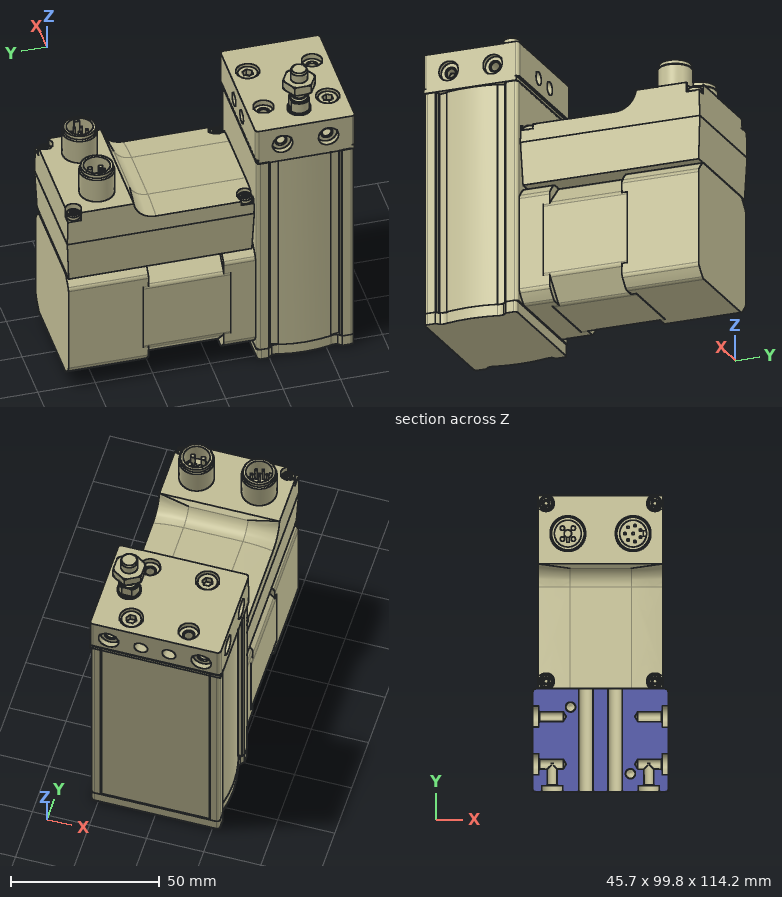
import cadquery as cq
import math

HEAD_WIDTH = 45.7
HEAD_DEPTH = 34.7
HEAD_CORNER_RADIUS = 1.1
HEAD_BOTTOM_Z = 83.5
HEAD_STEP_Z = 85.1
HEAD_TOP_Z = 97.4
PROFILE_WIDTH = 45.0
PROFILE_FRONT_Y = 0.3
PROFILE_BACK_Y = 34.3
PLATE_THICKNESS = 4.1
PLATE_BACK_Y = 33.9
CYLINDER_CORNER_RADIUS = 1.1
CYLINDER_MID_Y = 17.2

GROOVE_OUTER_Y = 12.8
SLOT_FLOOR_Y = 12.1
PLATE_GROOVE_FLOOR_Y = 11.5
BULGE_HALF_LENGTH = 9.1
BULGE_EDGE_DEPTH = 1.1
BULGE_CREST_DEPTH = 0.1
SLOT_LEDGE_DEPTH = 0.7
SLOT_OUTER_DEPTH = 2.2
SLOT_INNER_DEPTH = 1.6
PLATE_GROOVE_DEPTH = 1.4
FRONT_RECESS_WIDTH = 37.7
FRONT_RECESS_DEPTH = 0.5
FRONT_RECESS_SLOPE = 0.5

BORE_DIAMETER = 3.2
BORE_RIM_DIAMETER = 4.0
BORE_TIP_ANGLE = 118.0
COUNTERBORE_DIAMETER = 7.0
COUNTERBORE_DEPTH = 2.0
TOP_BORE_DEPTH = 9.1
SIDE_BORE_DEPTH = 10.3
FRONT_BORE_DEPTH = 9.7
CROSS_HOLE_Z = 90.5
HEAD_MID_Y = HEAD_DEPTH / 2
TOP_HOLE_X = 10.0
TOP_HOLE_Y_OFFSET = 11.2
SIDE_HOLE_Y_OFFSET = 8.0
FRONT_HOLE_X = 16.2
THROUGH_HOLE_X = 4.9
THROUGH_HOLE_DIAMETER = 4.7
SCREW_RECESS_DIAMETER = 8.0
SCREW_RECESS_DEPTH = 3.4
SCREW_HEAD_DIAMETER = 6.6
SCREW_HEAD_SINK = 0.7
SCREW_SOCKET_FLATS = 3.2
SCREW_SOCKET_DEPTH = 2.3

ROD_X = -14.0
ROD_Y = CYLINDER_MID_Y
ROD_TOP_Z = 114.2
ROD_DIAMETER = 7.2
ROD_COLLAR_DIAMETER = 8.0
ROD_COLLAR_TOP_Z = 98.0
ROD_SHOULDER_Z = 102.3
ROD_SHOULDER_CHAMFER = 0.3
ROD_FLATS = 6.3
ROD_FLATS_BOTTOM_Z = 98.4
THREAD_DIAMETER = 5.7
THREAD_BOTTOM_Z = 103.9
THREAD_TIP_DIAMETER = 5.0
THREAD_TIP_LENGTH = 0.8
NECK_DIAMETER = 4.5
NECK_BEVEL = (THREAD_DIAMETER - NECK_DIAMETER) / 2
NUT_BOTTOM_Z = 106.8
NUT_TOP_Z = 110.2
NUT_FLATS = 9.8
NUT_CHAMFER_HEIGHT = 0.3
NUT_FACE_DIAMETER = 10.5

MOTOR_SIZE = 41.9
MOTOR_MID_Z = PLATE_THICKNESS + MOTOR_SIZE / 2
MOTOR_BACK_Y = 99.4
MOTOR_ROUND_DIAMETER = 54.0
MOTOR_EDGE_RADIUS = 2.0
STACK_SIZE = 42.1
STACK_CHAMFER = 8.1
STACK_EDGE_RADIUS = 2.0
STACK_FRONT_Y = 42.9
STACK_BACK_Y = 73.4
WAIST_FRONT_Y = 45.3
WAIST_BACK_Y = 71.5

DRIVE_WIDTH = 42.1
DRIVE_FRONT_Y = 34.7
DRIVE_BACK_Y = 99.8
DRIVE_LENGTH = DRIVE_BACK_Y - DRIVE_FRONT_Y
DRIVE_MID_Y = (DRIVE_FRONT_Y + DRIVE_BACK_Y) / 2
BASE_BOTTOM_Z = MOTOR_MID_Z + STACK_SIZE / 2
LID_BOTTOM_Z = 61.4
LID_TOP_Z = 74.1
BASE_DRAFT_INSET = 0.7
LID_DRAFT_INSET = 0.3
LID_LOW_Z = 68.7
LID_FLAT_HALF_WIDTH = 10.4
CROWN_DROP = 1.4
STEP_TOP_Y = 76.6
STEP_FOOT_Y = 69.0
COVE_MIDDLE_RADIUS = 6.9
STEP_BEVEL_REACH = 3.4

LID_SCREW_X = 18.3
LID_SCREW_FRONT_Y = 37.2
LID_SCREW_BACK_Y = 97.0
LID_SCREW_BACK_FLOOR_Z = 70.8
LID_SCREW_FRONT_FLOOR_Z = 65.8
LID_SCREW_HOLE_DIAMETER = 5.5
LID_SCREW_WINDOW_WIDTH = 4.0
LID_SCREW_WINDOW_X = 17.2
LID_SCREW_HEAD_DIAMETER = 4.7
LID_SCREW_HEAD_HEIGHT = 1.8
LID_SCREW_HEAD_CHAMFER = 0.5
LID_SCREW_SOCKET_DIAMETER = 2.5
LID_SCREW_SOCKET_DEPTH = 0.5
LID_SCREW_CORE_DIAMETER = 1.5
LID_SCREW_CORE_DEPTH = 1.1

CONNECTOR_X = 11.0
CONNECTOR_Y = 86.8
CONNECTOR_DIAMETER = 12.0
CONNECTOR_SHOULDER_Z = 83.3
CONNECTOR_RIM_BOTTOM_Z = 83.7
CONNECTOR_RIM_DIAMETER = 11.0
CONNECTOR_TOP_Z = 85.1
CONNECTOR_BORE_DIAMETER = 9.0
CONNECTOR_FLOOR_Z = 78.2
PIN_TOP_GAP = 2.3
POWER_PIN_DIAMETER = 1.5
POWER_PIN_OFFSET = 1.8
POWER_CENTER_DIAMETER = 2.5
POWER_CENTER_DEPTH = 0.6
BLADE_WIDTH = 0.8
BLADE_LENGTH = 1.7
BLADE_OFFSET = 2.0
SIGNAL_PIN_DIAMETER = 0.8
SIGNAL_PIN_CIRCLE_RADIUS = 2.7
SIGNAL_RING_PINS = 7
KEY_WIDTH = 1.8
KEY_INNER_RADIUS = 3.4
KEY_TOP_GAP = 0.6


def block(x_size, y_min, y_max, z_min, z_max):
    """Box centred on X = 0."""
    return cq.Workplane("XY").box(
        x_size, y_max - y_min, z_max - z_min, centered=(True, False, False)
    ).translate((0, y_min, z_min))


def disc(x, y, z_bottom, z_top, diameter):
    return cq.Workplane("XY", origin=(x, y, z_bottom)).circle(diameter / 2).extrude(z_top - z_bottom)


def counterbored_bore(origin, direction, depth):
    """Cutting body for a counterbored blind bore with a bevelled rim and a conical tip."""
    bore_radius = BORE_DIAMETER / 2
    rim_radius = BORE_RIM_DIAMETER / 2
    counterbore_radius = COUNTERBORE_DIAMETER / 2
    rim_end = COUNTERBORE_DEPTH + rim_radius - bore_radius
    tip_end = depth + bore_radius / math.tan(math.radians(BORE_TIP_ANGLE / 2))
    outline = (
        cq.Workplane("XZ")
        .moveTo(0, 0)
        .lineTo(counterbore_radius, 0)
        .lineTo(counterbore_radius, COUNTERBORE_DEPTH)
        .lineTo(rim_radius, COUNTERBORE_DEPTH)
        .lineTo(bore_radius, rim_end)
        .lineTo(bore_radius, depth)
        .lineTo(0, tip_end)
        .close()
    )
    cutter = outline.revolve(360, (0, 0, 0), (0, 1, 0)).val()
    return cutter.moved(cq.Location(cq.Plane(origin=origin, normal=direction)))


def sunk_screw(x, y):
    """Ring-shaped clearance and hexagon socket around a cap screw sunk into the head block."""
    recess = disc(x, y, HEAD_TOP_Z - SCREW_RECESS_DEPTH, HEAD_TOP_Z, SCREW_RECESS_DIAMETER)
    screw_top = HEAD_TOP_Z - SCREW_HEAD_SINK
    screw = disc(x, y, HEAD_TOP_Z - SCREW_RECESS_DEPTH, screw_top, SCREW_HEAD_DIAMETER)
    socket_corner_diameter = SCREW_SOCKET_FLATS / math.cos(math.pi / 6)
    socket = (
        cq.Workplane("XY", origin=(x, y, screw_top - SCREW_SOCKET_DEPTH))
        .polygon(6, socket_corner_diameter)
        .extrude(SCREW_SOCKET_DEPTH)
    )
    return recess.cut(screw).union(socket)


def make_head():
    head = block(HEAD_WIDTH, 0, HEAD_DEPTH, HEAD_STEP_Z, HEAD_TOP_Z)
    head = head.edges("|Z").fillet(HEAD_CORNER_RADIUS)
    head = head.union(block(HEAD_WIDTH, PROFILE_FRONT_Y, PLATE_BACK_Y, HEAD_BOTTOM_Z, HEAD_STEP_Z))

    for x in (-THROUGH_HOLE_X, THROUGH_HOLE_X):
        through_hole = cq.Workplane("XZ", origin=(x, 0, CROSS_HOLE_Z)).circle(THROUGH_HOLE_DIAMETER / 2)
        head = head.cut(through_hole.extrude(-HEAD_DEPTH))

    for side in (-1, 1):
        bore_y = HEAD_MID_Y - side * TOP_HOLE_Y_OFFSET
        screw_y = HEAD_MID_Y + side * TOP_HOLE_Y_OFFSET
        head = head.cut(
            counterbored_bore((side * TOP_HOLE_X, bore_y, HEAD_TOP_Z), (0, 0, -1), TOP_BORE_DEPTH)
        )
        head = head.cut(sunk_screw(side * TOP_HOLE_X, screw_y))
        head = head.cut(
            counterbored_bore((side * FRONT_HOLE_X, 0, CROSS_HOLE_Z), (0, 1, 0), FRONT_BORE_DEPTH)
        )
        for y_offset in (-SIDE_HOLE_Y_OFFSET, SIDE_HOLE_Y_OFFSET):
            start = (side * HEAD_WIDTH / 2, HEAD_MID_Y + y_offset, CROSS_HOLE_Z)
            head = head.cut(counterbored_bore(start, (-side, 0, 0), SIDE_BORE_DEPTH))
    return head


def side_bulge(outline, half_width):
    """Draws the shallow convex arc of one cylinder side from its front end to its back end."""
    crest = (half_width - BULGE_CREST_DEPTH, 0)
    end = (half_width - BULGE_EDGE_DEPTH, BULGE_HALF_LENGTH)
    return outline.threePointArc(crest, end)


def profile_side_cut():
    """Section beyond the +X side of the profile: two stepped slots and the bulge between them."""
    half_width = PROFILE_WIDTH / 2
    outline = (
        cq.Workplane("XY", origin=(0, CYLINDER_MID_Y, PLATE_THICKNESS))
        .moveTo(half_width, -GROOVE_OUTER_Y)
        .lineTo(half_width - SLOT_LEDGE_DEPTH, -GROOVE_OUTER_Y)
        .lineTo(half_width - SLOT_LEDGE_DEPTH, -SLOT_FLOOR_Y)
        .lineTo(half_width - SLOT_OUTER_DEPTH, -SLOT_FLOOR_Y)
        .lineTo(half_width - SLOT_INNER_DEPTH, -BULGE_HALF_LENGTH)
        .lineTo(half_width - BULGE_EDGE_DEPTH, -BULGE_HALF_LENGTH)
    )
    outline = (
        side_bulge(outline, half_width)
        .lineTo(half_width - SLOT_INNER_DEPTH, BULGE_HALF_LENGTH)
        .lineTo(half_width - SLOT_OUTER_DEPTH, SLOT_FLOOR_Y)
        .lineTo(half_width - SLOT_LEDGE_DEPTH, SLOT_FLOOR_Y)
        .lineTo(half_width - SLOT_LEDGE_DEPTH, GROOVE_OUTER_Y)
        .lineTo(half_width, GROOVE_OUTER_Y)
        .close()
    )
    return outline.extrude(HEAD_BOTTOM_Z - PLATE_THICKNESS)


def plate_side_cut():
    """Section beyond the +X side of the end plate: two rounded grooves and the bulge between them."""
    half_width = PROFILE_WIDTH / 2
    bulge_x = half_width - BULGE_EDGE_DEPTH
    groove_mid_x = half_width - PLATE_GROOVE_DEPTH
    groove_mid_y = (PLATE_GROOVE_FLOOR_Y + BULGE_HALF_LENGTH) / 2
    outline = (
        cq.Workplane("XY", origin=(0, CYLINDER_MID_Y, 0))
        .moveTo(half_width, -GROOVE_OUTER_Y)
        .lineTo(bulge_x, -PLATE_GROOVE_FLOOR_Y)
        .threePointArc((groove_mid_x, -groove_mid_y), (bulge_x, -BULGE_HALF_LENGTH))
    )
    outline = (
        side_bulge(outline, half_width)
        .threePointArc((groove_mid_x, groove_mid_y), (bulge_x, PLATE_GROOVE_FLOOR_Y))
        .lineTo(half_width, GROOVE_OUTER_Y)
        .close()
    )
    return outline.extrude(PLATE_THICKNESS)


def make_profile():
    profile = block(PROFILE_WIDTH, PROFILE_FRONT_Y, PROFILE_BACK_Y, PLATE_THICKNESS, HEAD_BOTTOM_Z)
    profile = profile.edges("|Z").fillet(CYLINDER_CORNER_RADIUS)
    side_cut = profile_side_cut()
    profile = profile.cut(side_cut).cut(side_cut.mirror("YZ"))

    floor_half_width = FRONT_RECESS_WIDTH / 2
    rim_half_width = floor_half_width + FRONT_RECESS_SLOPE
    floor_y = PROFILE_FRONT_Y + FRONT_RECESS_DEPTH
    front_recess = (
        cq.Workplane("XY", origin=(0, 0, PLATE_THICKNESS))
        .moveTo(-rim_half_width, PROFILE_FRONT_Y)
        .lineTo(-floor_half_width, floor_y)
        .lineTo(floor_half_width, floor_y)
        .lineTo(rim_half_width, PROFILE_FRONT_Y)
        .close()
        .extrude(HEAD_BOTTOM_Z - PLATE_THICKNESS)
    )
    return profile.cut(front_recess)


def make_end_plate():
    plate = block(PROFILE_WIDTH, PROFILE_FRONT_Y, PLATE_BACK_Y, 0, PLATE_THICKNESS)
    plate = plate.edges("|Z").fillet(CYLINDER_CORNER_RADIUS)
    side_cut = plate_side_cut()
    return plate.cut(side_cut).cut(side_cut.mirror("YZ"))


def make_rod():
    """Rod with a collar, two wrench flats, a relief neck and a threaded end."""
    collar_radius = ROD_COLLAR_DIAMETER / 2
    rod_radius = ROD_DIAMETER / 2
    thread_radius = THREAD_DIAMETER / 2
    neck_radius = NECK_DIAMETER / 2
    rod = (
        cq.Workplane("XZ")
        .moveTo(0, HEAD_TOP_Z)
        .lineTo(collar_radius, HEAD_TOP_Z)
        .lineTo(collar_radius, ROD_COLLAR_TOP_Z)
        .lineTo(rod_radius, ROD_COLLAR_TOP_Z)
        .lineTo(rod_radius, ROD_SHOULDER_Z - ROD_SHOULDER_CHAMFER)
        .lineTo(rod_radius - ROD_SHOULDER_CHAMFER, ROD_SHOULDER_Z)
        .lineTo(thread_radius, ROD_SHOULDER_Z)
        .lineTo(neck_radius, ROD_SHOULDER_Z + NECK_BEVEL)
        .lineTo(neck_radius, THREAD_BOTTOM_Z - NECK_BEVEL)
        .lineTo(thread_radius, THREAD_BOTTOM_Z)
        .lineTo(thread_radius, ROD_TOP_Z - THREAD_TIP_LENGTH)
        .lineTo(THREAD_TIP_DIAMETER / 2, ROD_TOP_Z)
        .lineTo(0, ROD_TOP_Z)
        .close()
        .revolve(360, (0, 0, 0), (0, 1, 0))
    )
    for side in (-1, 1):
        near_y, far_y = sorted((side * ROD_FLATS / 2, side * ROD_DIAMETER))
        rod = rod.cut(block(ROD_DIAMETER, near_y, far_y, ROD_FLATS_BOTTOM_Z, ROD_SHOULDER_Z))
    return rod.translate((ROD_X, ROD_Y, 0))


def make_nut():
    """Hexagon nut with its flats facing along X and bevelled corners."""
    corner_diameter = NUT_FLATS / math.cos(math.pi / 6)
    height = NUT_TOP_Z - NUT_BOTTOM_Z
    hexagon = cq.Workplane("XY").polygon(6, corner_diameter).extrude(height)
    hexagon = hexagon.rotate((0, 0, 0), (0, 0, 1), 30)
    corner_radius = corner_diameter / 2
    face_radius = NUT_FACE_DIAMETER / 2
    envelope = (
        cq.Workplane("XZ")
        .moveTo(0, 0)
        .lineTo(face_radius, 0)
        .lineTo(corner_radius, NUT_CHAMFER_HEIGHT)
        .lineTo(corner_radius, height - NUT_CHAMFER_HEIGHT)
        .lineTo(face_radius, height)
        .lineTo(0, height)
        .close()
        .revolve(360, (0, 0, 0), (0, 1, 0))
    )
    nut = hexagon.intersect(envelope).cut(disc(0, 0, 0, height, THREAD_DIAMETER))
    return nut.translate((ROD_X, ROD_Y, NUT_BOTTOM_Z))


def make_motor():
    """Two rounded square end caps around a square stack with large chamfers."""

    def section_plane(y):
        return cq.Workplane("XZ", origin=(0, y, MOTOR_MID_Z))

    def end_cap(y_min, y_max):
        length = y_max - y_min
        square = section_plane(y_min).rect(MOTOR_SIZE, MOTOR_SIZE).extrude(-length)
        round_bar = section_plane(y_min).circle(MOTOR_ROUND_DIAMETER / 2).extrude(-length)
        return square.intersect(round_bar).edges("|Y").fillet(MOTOR_EDGE_RADIUS)

    stack = section_plane(STACK_FRONT_Y).rect(STACK_SIZE, STACK_SIZE).extrude(STACK_FRONT_Y - STACK_BACK_Y)
    stack = stack.edges("|Y").chamfer(STACK_CHAMFER).edges("|Y").fillet(STACK_EDGE_RADIUS)
    front_cap = end_cap(PROFILE_BACK_Y, WAIST_FRONT_Y)
    back_cap = end_cap(WAIST_BACK_Y, MOTOR_BACK_Y)
    return stack.union(front_cap).union(back_cap)


def make_drive_base():
    """Housing base that narrows evenly on all four sides towards the motor."""
    height = LID_BOTTOM_Z - BASE_BOTTOM_Z
    taper_angle = math.degrees(math.atan(BASE_DRAFT_INSET / height))
    return (
        cq.Workplane("XY", origin=(0, DRIVE_MID_Y, LID_BOTTOM_Z))
        .rect(DRIVE_WIDTH, DRIVE_LENGTH)
        .extrude(-height, taper=taper_angle)
    )


def lid_section(x, crown):
    """Lid outline at one X; `crown` runs from 0 over the middle flat to 1 at the side."""
    low_z = LID_LOW_Z - CROWN_DROP * crown**2
    draft = LID_DRAFT_INSET / (LID_TOP_Z - LID_BOTTOM_Z)
    front_top_y = DRIVE_FRONT_Y + draft * (low_z - LID_BOTTOM_Z)

    run = STEP_TOP_Y - STEP_FOOT_Y
    side_rise = LID_TOP_Z - LID_LOW_Z + CROWN_DROP
    side_radius = (run**2 + side_rise**2) / (2 * side_rise)
    radius = COVE_MIDDLE_RADIUS + (side_radius - COVE_MIDDLE_RADIUS) * crown
    sweep = math.acos(1 - (LID_TOP_Z - low_z) / radius)

    def cove_point(angle):
        return STEP_FOOT_Y + radius * math.sin(angle), low_z + radius * (1 - math.cos(angle))

    return (
        cq.Workplane("YZ", origin=(x, 0, 0))
        .moveTo(DRIVE_FRONT_Y, LID_BOTTOM_Z)
        .lineTo(front_top_y, low_z)
        .lineTo(STEP_FOOT_Y, low_z)
        .threePointArc(cove_point(sweep / 2), cove_point(sweep))
        .lineTo(DRIVE_BACK_Y - LID_DRAFT_INSET, LID_TOP_Z)
        .lineTo(DRIVE_BACK_Y, LID_BOTTOM_Z)
        .close()
    )


def step_bevel():
    """Wedge that bevels the top of the step at 45 degrees, starting from a straight edge."""
    return (
        cq.Workplane("YZ", origin=(-DRIVE_WIDTH / 2, 0, 0))
        .moveTo(STEP_TOP_Y, LID_TOP_Z)
        .lineTo(STEP_TOP_Y - STEP_BEVEL_REACH, LID_TOP_Z)
        .lineTo(STEP_TOP_Y - STEP_BEVEL_REACH, LID_TOP_Z - STEP_BEVEL_REACH)
        .close()
        .extrude(DRIVE_WIDTH)
    )


def lid_shell():
    """Lid with a flat middle; its low part and cove fall away towards both sides."""
    side_span = DRIVE_WIDTH / 2 - LID_FLAT_HALF_WIDTH
    crowns = (0, 0.5, 1)
    wires = [lid_section(LID_FLAT_HALF_WIDTH + side_span * c, c).wire().val() for c in crowns]
    right_side = cq.Workplane(cq.Solid.makeLoft(wires))
    middle = lid_section(-LID_FLAT_HALF_WIDTH, 0).extrude(2 * LID_FLAT_HALF_WIDTH)
    return middle.union(right_side).union(right_side.mirror("YZ")).cut(step_bevel())


def add_lid_screw(lid, side, y, floor_z, window_back_y):
    """Screw pocket open to the lid's side wall, with the screw head standing in it."""
    x = side * LID_SCREW_X
    pocket = disc(x, y, floor_z, LID_TOP_Z, LID_SCREW_HOLE_DIAMETER)
    window_size = DRIVE_WIDTH / 2 - LID_SCREW_WINDOW_X
    window_mid_x = side * (LID_SCREW_WINDOW_X + window_size / 2)
    window = block(window_size, y - LID_SCREW_WINDOW_WIDTH / 2, window_back_y, floor_z, LID_TOP_Z)
    lid = lid.cut(pocket).cut(window.translate((window_mid_x, 0, 0)))

    head_top_z = floor_z + LID_SCREW_HEAD_HEIGHT
    screw = disc(x, y, floor_z, head_top_z, LID_SCREW_HEAD_DIAMETER)
    screw = screw.faces(">Z").edges().chamfer(LID_SCREW_HEAD_CHAMFER)
    screw = screw.cut(disc(x, y, head_top_z - LID_SCREW_SOCKET_DEPTH, head_top_z, LID_SCREW_SOCKET_DIAMETER))
    screw = screw.cut(disc(x, y, head_top_z - LID_SCREW_CORE_DEPTH, head_top_z, LID_SCREW_CORE_DIAMETER))
    return lid.union(screw)


def connector_shell(x):
    """Socket shell with a bevelled shoulder below its narrower rim."""
    outer_radius = CONNECTOR_DIAMETER / 2
    rim_radius = CONNECTOR_RIM_DIAMETER / 2
    bore_radius = CONNECTOR_BORE_DIAMETER / 2
    shell = (
        cq.Workplane("XZ")
        .moveTo(0, LID_TOP_Z)
        .lineTo(outer_radius, LID_TOP_Z)
        .lineTo(outer_radius, CONNECTOR_SHOULDER_Z)
        .lineTo(rim_radius, CONNECTOR_RIM_BOTTOM_Z)
        .lineTo(rim_radius, CONNECTOR_TOP_Z)
        .lineTo(bore_radius, CONNECTOR_TOP_Z)
        .lineTo(bore_radius, CONNECTOR_FLOOR_Z)
        .lineTo(0, CONNECTOR_FLOOR_Z)
        .close()
        .revolve(360, (0, 0, 0), (0, 1, 0))
    )
    return shell.translate((x, CONNECTOR_Y, 0))


def contact_pin(x, y, diameter):
    return disc(x, y, CONNECTOR_FLOOR_Z, CONNECTOR_TOP_Z - PIN_TOP_GAP, diameter)


def make_power_connector():
    """Four thick pins, a shallow centre recess and a narrow contact blade."""
    x = -CONNECTOR_X
    connector = connector_shell(x)
    connector = connector.cut(
        disc(x, CONNECTOR_Y, CONNECTOR_FLOOR_Z - POWER_CENTER_DEPTH, CONNECTOR_FLOOR_Z, POWER_CENTER_DIAMETER)
    )
    for x_side in (-1, 1):
        for y_side in (-1, 1):
            pin_x = x + x_side * POWER_PIN_OFFSET
            pin_y = CONNECTOR_Y + y_side * POWER_PIN_OFFSET
            connector = connector.union(contact_pin(pin_x, pin_y, POWER_PIN_DIAMETER))
    blade_y = CONNECTOR_Y - BLADE_OFFSET
    blade_top_z = CONNECTOR_TOP_Z - PIN_TOP_GAP
    half_length = BLADE_LENGTH / 2
    blade = block(BLADE_WIDTH, blade_y - half_length, blade_y + half_length, CONNECTOR_FLOOR_Z, blade_top_z)
    return connector.union(blade.translate((x, 0, 0)))


def make_signal_connector():
    """Thin pins on a circle around a centre pin, with a coding key on the bore wall."""
    x = CONNECTOR_X
    connector = connector_shell(x).union(contact_pin(x, CONNECTOR_Y, SIGNAL_PIN_DIAMETER))
    for i in range(SIGNAL_RING_PINS):
        angle = math.pi + i * 2 * math.pi / SIGNAL_RING_PINS
        pin_x = x + SIGNAL_PIN_CIRCLE_RADIUS * math.cos(angle)
        pin_y = CONNECTOR_Y + SIGNAL_PIN_CIRCLE_RADIUS * math.sin(angle)
        connector = connector.union(contact_pin(pin_x, pin_y, SIGNAL_PIN_DIAMETER))
    key_size = CONNECTOR_RIM_DIAMETER / 2 - KEY_INNER_RADIUS
    key_top_z = CONNECTOR_TOP_Z - KEY_TOP_GAP
    half_width = KEY_WIDTH / 2
    key = block(key_size, CONNECTOR_Y - half_width, CONNECTOR_Y + half_width, CONNECTOR_FLOOR_Z, key_top_z)
    key = key.translate((x + KEY_INNER_RADIUS + key_size / 2, 0, 0))
    bore_space = disc(x, CONNECTOR_Y, CONNECTOR_FLOOR_Z, key_top_z, CONNECTOR_RIM_DIAMETER)
    return connector.union(key.intersect(bore_space))


def make_lid():
    lid = lid_shell()
    front_window_back_y = LID_SCREW_FRONT_Y + LID_SCREW_WINDOW_WIDTH / 2
    for side in (-1, 1):
        lid = add_lid_screw(lid, side, LID_SCREW_FRONT_Y, LID_SCREW_FRONT_FLOOR_Z, front_window_back_y)
        lid = add_lid_screw(lid, side, LID_SCREW_BACK_Y, LID_SCREW_BACK_FLOOR_Z, DRIVE_BACK_Y)
    return lid.union(make_power_connector()).union(make_signal_connector())


head = make_head()
profile = make_profile()
end_plate = make_end_plate()
rod = make_rod()
nut = make_nut()
motor = make_motor()
drive_base = make_drive_base()
lid = make_lid()

bodies = (head, profile, end_plate, rod, nut, motor, drive_base, lid)
result = cq.Compound.makeCompound([body.solids().val() for body in bodies])